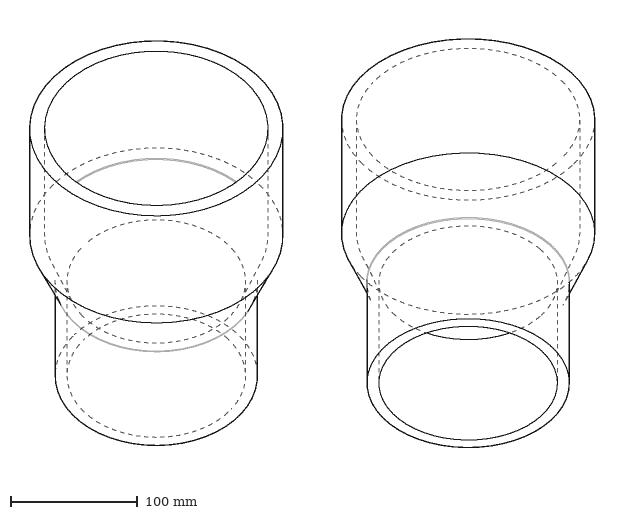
import cadquery as cq

total_length = 270.0
socket_diameter = 200.0
spigot_diameter = 159.8

socket_wall = 12.0
spigot_wall = 9.5

spigot_length = 103.0
cone_length = 50.2

band_length = 1.0
band_step = 0.3

socket_radius = socket_diameter / 2
spigot_radius = spigot_diameter / 2
socket_bore_radius = socket_radius - socket_wall
spigot_bore_radius = spigot_radius - spigot_wall
cone_top = spigot_length + cone_length


def revolve_profile(wall_points):
    """Solid of revolution about Z from (radius, height) points running bottom to top."""
    profile = [(0, 0)] + wall_points + [(0, total_length)]
    return cq.Workplane("XZ").polyline(profile).close().revolve(360, (0, 0, 0), (0, 1, 0))


outer_body = revolve_profile([
    (spigot_radius, 0),
    (spigot_radius, spigot_length - band_length / 2),
    (spigot_radius + band_step, spigot_length + band_length / 2),
    (socket_radius, cone_top),
    (socket_radius, total_length),
])

bore = revolve_profile([
    (spigot_bore_radius, 0),
    (spigot_bore_radius, spigot_length),
    (socket_bore_radius - band_step, cone_top - band_length),
    (socket_bore_radius, cone_top),
    (socket_bore_radius, total_length),
])

result = outer_body.cut(bore)